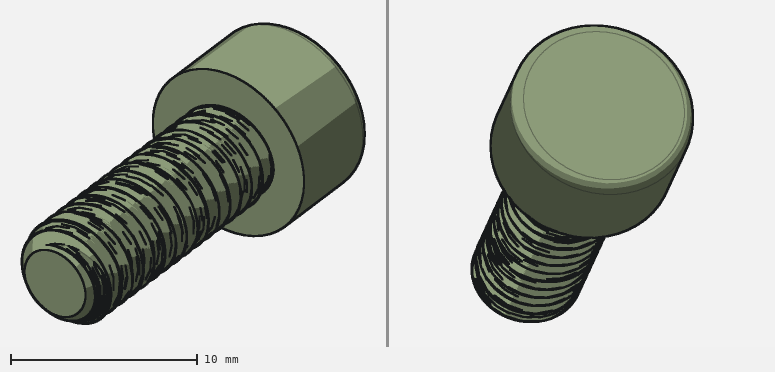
import cadquery as cq
import math

total_length = 22.0
head_length = 6.0
head_diameter = 10.0
head_edge_radius = 0.6

shank_length = total_length - head_length
turns_on_shank = 16
crest_radius = 0.3 * head_diameter
thread_depth = 0.8
root_radius = crest_radius - thread_depth
tip_chamfer = 1.0


def make_head():
    """Plain cylindrical head with a rounded outer rim, standing on Z = 0."""
    head = cq.Workplane("XY").circle(head_diameter / 2).extrude(head_length)
    return head.faces(">Z").edges().fillet(head_edge_radius)


def falling_flank(fraction):
    """Point on the half section that falls from the crest (+X) to the root (-X)."""
    angle = fraction * math.pi
    radius = crest_radius - thread_depth * fraction
    return radius * math.cos(angle), radius * math.sin(angle)


def rising_flank(fraction):
    """Point on the mirrored half section that climbs from the root back to the crest."""
    x, y = falling_flank(1 - fraction)
    return x, -y


def make_thread():
    """Right-hand sharp V thread, made by twisting its cross-section along the axis."""
    section = (
        cq.Workplane("XY", origin=(0, 0, -shank_length))
        .parametricCurve(falling_flank, N=40, makeWire=False)
        .parametricCurve(rising_flank, N=40, makeWire=False)
        .consolidateWires()
    )
    return section.twistExtrude(shank_length, 360 * turns_on_shank)


def make_shank():
    """Threaded shank below Z = 0 with a chamfered tip."""
    clearance = 0.22
    envelope = cq.Workplane("XY").circle(crest_radius + clearance).extrude(-shank_length)
    envelope = envelope.faces("<Z").chamfer(tip_chamfer + clearance)
    return make_thread().intersect(envelope, clean=False)


screw = make_head().union(make_shank(), clean=False)
result = screw.rotate((0, 0, 0), (1, 0, 0), -90)